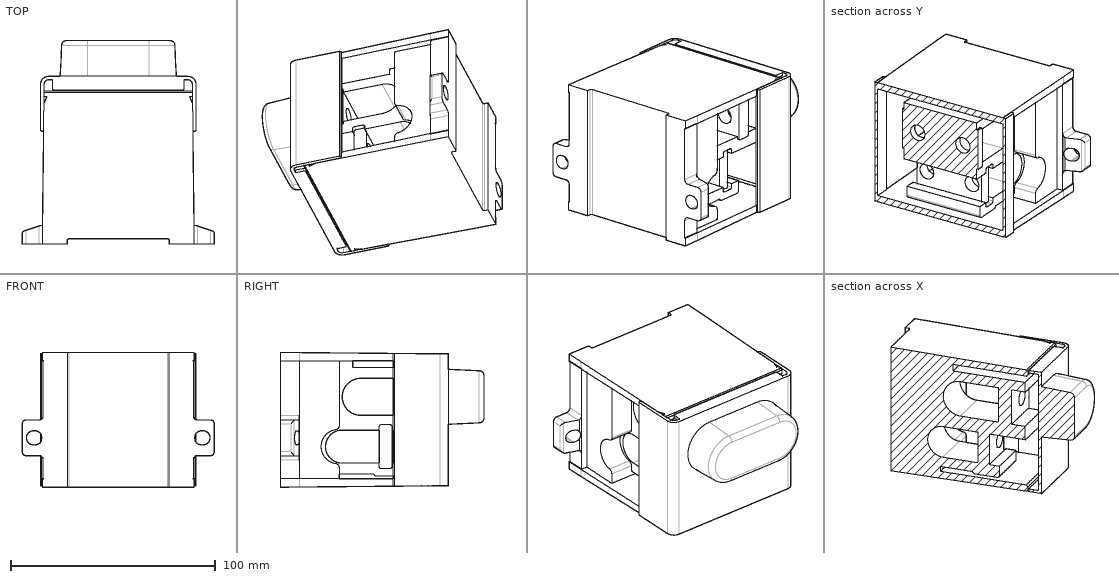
import cadquery as cq

HOUSING_DEPTH = 74.95
FLANGE_DEPTH = 9.3
BACK_HALF_WIDTH = 37.1
FRONT_HALF_WIDTH = 36.3
BACK_HALF_HEIGHT = 33.0
FRONT_HALF_HEIGHT = 32.35
FRONT_EDGE_CHAMFER = 0.7
INNER_EDGE_CHAMFER = 0.9
PLATE_INNER_Z = 28.8

CHANNEL_HALF_WIDTH = 24.9
CHANNEL_DEPTH = 2.6
CHANNEL_RADIUS = 0.8

NOTCH_Y = 72.1
NOTCH_LENGTH = 3.3
NOTCH_DEPTH = 1.3

FLANGE_FACE_X = 36.7
WALL_FACE_X = 33.5
WALL_END_Y = 28.8
CORE_FACE_X = 21.2

CORE_END_Y = 73.5
CORE_TOP_Z = 25.6
CORE_BOTTOM_Z = -26.5
TOP_GAP_START_Y = 35.5
LOWER_LIP_Z = -27.5
LOWER_LIP_START_Y = 45.5
LOWER_LIP_END_Y = 60.0
LOWER_LIP_RADIUS = 1.5

UPPER_TUNNEL_Z = 11.25
UPPER_TUNNEL_RADIUS = 9.0
UPPER_TUNNEL_CENTRE_Y = 39.3
LOWER_TUNNEL_Z = -13.1
LOWER_TUNNEL_RADIUS = 8.0
LOWER_TUNNEL_CENTRE_Y = 30.1
BAY_RADIUS = 8.4
BAY_CENTRE_Y = 28.3
BAY_EDGE_RADIUS = 2.0

LOWER_BAR_Y = 48.3
LOWER_BAR_THICKNESS = 6.3
LOWER_BAR_HALF_LENGTH = 18.7
UPPER_BAR_Y = 59.2
UPPER_BAR_THICKNESS = 7.2
UPPER_BAR_HALF_LENGTH = 22.1
BAR_HALF_HEIGHT = 10.7
BAR_CORNER_RADIUS = 1.0
TERMINAL_HOLE_X = 13.1
TERMINAL_HOLE_DIAMETER = 8.0

EAR_TIP_X = 47.0
EAR_TIP_DEPTH = 6.2
EAR_TIP_EDGE_RADIUS = 1.5
EAR_BASE_DEPTH = 9.2
EAR_BASE_X = 38.0
EAR_HEIGHT = 17.6
EAR_Z = -8.8
EAR_RADIUS = 2.0
EAR_HOLE_X = 41.1
EAR_HOLE_LENGTH = 7.5
EAR_HOLE_WIDTH = 6.8

COVER_HALF_WIDTH = 38.1
COVER_HALF_HEIGHT = 32.3
COVER_START_Y = 55.1
COVER_END_Y = 82.1
COVER_WALL = 1.9
COVER_FRONT_WALL = 1.8
COVER_RADIUS = 4.0
COVER_END_CHAMFER = 0.7
COVER_FLANGE_HALF_WIDTH = 32.2
COVER_FLANGE_Y = 75.3
COVER_FLANGE_THICKNESS = 1.6
COVER_FLANGE_RADIUS = 0.8

CAP_END_Y = 99.6
CAP_Z = UPPER_TUNNEL_Z
CAP_CENTRE_SPAN = 30.0
CAP_BASE_RADIUS = 13.5
CAP_DRAFT_DEGREES = 2.7
CAP_EDGE_RADIUS = 2.5

SIDES = (-1, 1)


def box(x_range, y_range, z_range):
    """Axis-aligned box from its three coordinate ranges."""
    size = [high - low for low, high in (x_range, y_range, z_range)]
    low_corner = (x_range[0], y_range[0], z_range[0])
    return cq.Workplane("XY").box(*size, centered=False).translate(low_corner)


def extrude_along_x(outline, half_width):
    """Prism over a (Y, Z) outline, symmetric about X = 0."""
    return cq.Workplane("YZ").polyline(outline).close().extrude(half_width, both=True)


def x_cylinder(y, z, radius, half_width):
    return cq.Workplane("YZ").center(y, z).circle(radius).extrude(half_width, both=True)


def make_envelope():
    """Solid housing; the sides are drafted beyond the flange, top and bottom all along."""
    plan = [
        (-BACK_HALF_WIDTH, 0),
        (BACK_HALF_WIDTH, 0),
        (BACK_HALF_WIDTH, FLANGE_DEPTH),
        (FRONT_HALF_WIDTH, HOUSING_DEPTH),
        (-FRONT_HALF_WIDTH, HOUSING_DEPTH),
        (-BACK_HALF_WIDTH, FLANGE_DEPTH),
    ]
    profile = [
        (0, -BACK_HALF_HEIGHT),
        (HOUSING_DEPTH - FRONT_EDGE_CHAMFER, -FRONT_HALF_HEIGHT),
        (HOUSING_DEPTH, -FRONT_HALF_HEIGHT + FRONT_EDGE_CHAMFER),
        (HOUSING_DEPTH, FRONT_HALF_HEIGHT - FRONT_EDGE_CHAMFER),
        (HOUSING_DEPTH - FRONT_EDGE_CHAMFER, FRONT_HALF_HEIGHT),
        (0, BACK_HALF_HEIGHT),
    ]
    prism = cq.Workplane("XY").polyline(plan).close().extrude(BACK_HALF_HEIGHT, both=True)
    return prism.intersect(extrude_along_x(profile, BACK_HALF_WIDTH))


def make_channel():
    channel = box(
        (-CHANNEL_HALF_WIDTH, CHANNEL_HALF_WIDTH),
        (-CHANNEL_DEPTH, CHANNEL_DEPTH),
        (-BACK_HALF_HEIGHT, BACK_HALF_HEIGHT),
    )
    return channel.edges("|Z and >Y").fillet(CHANNEL_RADIUS)


def make_notch(side):
    """Triangular notch through both plates at one side."""
    outline = [
        (side * BACK_HALF_WIDTH, NOTCH_Y),
        (side * (FRONT_HALF_WIDTH - NOTCH_DEPTH), NOTCH_Y),
        (side * FRONT_HALF_WIDTH, NOTCH_Y - NOTCH_LENGTH),
        (side * BACK_HALF_WIDTH, NOTCH_Y - NOTCH_LENGTH),
    ]
    return cq.Workplane("XY").polyline(outline).close().extrude(BACK_HALF_HEIGHT, both=True)


def make_interior():
    """Room between the plates, with the round bay reaching into the side walls."""
    z_range = (-PLATE_INNER_Z, PLATE_INNER_Z)
    full = (-BACK_HALF_WIDTH, BACK_HALF_WIDTH)
    room = box(full, (WALL_END_Y, HOUSING_DEPTH), z_range)
    room = room.union(x_cylinder(BAY_CENTRE_Y, LOWER_TUNNEL_Z, BAY_RADIUS, BACK_HALF_WIDTH))
    front_chamfer = [
        (HOUSING_DEPTH - INNER_EDGE_CHAMFER, -PLATE_INNER_Z),
        (HOUSING_DEPTH, -PLATE_INNER_Z - INNER_EDGE_CHAMFER),
        (HOUSING_DEPTH, PLATE_INNER_Z + INNER_EDGE_CHAMFER),
        (HOUSING_DEPTH - INNER_EDGE_CHAMFER, PLATE_INNER_Z),
    ]
    room = room.union(extrude_along_x(front_chamfer, BACK_HALF_WIDTH))
    reach = 1.0
    for bay_side in SIDES:
        corner_z = LOWER_TUNNEL_Z + bay_side * BAY_RADIUS
        low = (-BACK_HALF_WIDTH - reach, WALL_END_Y - reach, corner_z - reach)
        high = (BACK_HALF_WIDTH + reach, WALL_END_Y + reach, corner_z + reach)
        room = room.edges(cq.selectors.BoxSelector(low, high)).edges("|X").fillet(BAY_EDGE_RADIUS)
    return room


def make_core():
    """Solid terminal core, before its wire tunnels are cut."""
    outline = [
        (FLANGE_DEPTH, CORE_BOTTOM_Z),
        (LOWER_LIP_START_Y, CORE_BOTTOM_Z),
        (LOWER_LIP_START_Y + CORE_BOTTOM_Z - LOWER_LIP_Z, LOWER_LIP_Z),
        (LOWER_LIP_END_Y, LOWER_LIP_Z),
        (LOWER_LIP_END_Y, LOWER_TUNNEL_Z),
        (CORE_END_Y, LOWER_TUNNEL_Z),
        (CORE_END_Y, CORE_TOP_Z),
        (TOP_GAP_START_Y, CORE_TOP_Z),
        (TOP_GAP_START_Y, PLATE_INNER_Z),
        (FLANGE_DEPTH, PLATE_INNER_Z),
    ]
    core = extrude_along_x(outline, CORE_FACE_X)
    lip_corner = cq.selectors.NearestToPointSelector((0, LOWER_LIP_END_Y, LOWER_LIP_Z))
    return core.edges("|X").edges(lip_corner).fillet(LOWER_LIP_RADIUS)


def make_tunnel(centre_y, z, radius):
    """Tunnel along X with a round end, open towards +Y."""
    straight = box(
        (-BACK_HALF_WIDTH, BACK_HALF_WIDTH),
        (centre_y, HOUSING_DEPTH),
        (z - radius, z + radius),
    )
    round_end = x_cylinder(centre_y, z, radius, BACK_HALF_WIDTH)
    return straight.union(round_end)


def make_bar_blank(half_length, y, thickness, z):
    """Plain bar along X with rounded long edges."""
    bar = box(
        (-half_length, half_length),
        (y, y + thickness),
        (z - BAR_HALF_HEIGHT, z + BAR_HALF_HEIGHT),
    )
    return bar.edges("|X").fillet(BAR_CORNER_RADIUS)


def make_bar(half_length, y, thickness, z):
    """Terminal bar across a tunnel, with one screw hole near each end."""
    holes = (
        cq.Workplane("XZ", origin=(0, y, z))
        .pushPoints([(side * TERMINAL_HOLE_X, 0) for side in SIDES])
        .circle(TERMINAL_HOLE_DIAMETER / 2)
        .extrude(-thickness)
    )
    return make_bar_blank(half_length, y, thickness, z).cut(holes)


def make_side_recess(face_x, y_range, side):
    """Cutter that sets a side wall back to face_x between the plates."""
    x_range = sorted((side * face_x, side * (BACK_HALF_WIDTH + 1)))
    return box(x_range, y_range, (-PLATE_INNER_Z, PLATE_INNER_Z))


def make_ear(side):
    """Mounting ear with a sloping inner face, rounded tip and filleted root."""
    root_x = FLANGE_FACE_X - EAR_RADIUS
    slope_outline = [
        (side * root_x, 0),
        (side * EAR_TIP_X, 0),
        (side * EAR_TIP_X, EAR_TIP_DEPTH),
        (side * EAR_BASE_X, EAR_BASE_DEPTH),
        (side * root_x, EAR_BASE_DEPTH),
    ]
    half_height = EAR_HEIGHT / 2
    root_half_height = half_height + EAR_RADIUS
    wedge = (
        cq.Workplane("XY", origin=(0, 0, EAR_Z))
        .polyline(slope_outline)
        .close()
        .extrude(root_half_height, both=True)
    )
    tip_edge = cq.selectors.NearestToPointSelector((side * EAR_TIP_X, EAR_TIP_DEPTH, EAR_Z))
    wedge = wedge.edges(tip_edge).fillet(EAR_TIP_EDGE_RADIUS)
    rounded_plate = (
        cq.Workplane("XZ", origin=(0, 0, EAR_Z))
        .moveTo(side * root_x, -root_half_height)
        .lineTo(side * FLANGE_FACE_X, -root_half_height)
        .radiusArc((side * (FLANGE_FACE_X + EAR_RADIUS), -half_height), side * EAR_RADIUS)
        .lineTo(side * (EAR_TIP_X - EAR_RADIUS), -half_height)
        .radiusArc((side * EAR_TIP_X, -half_height + EAR_RADIUS), -side * EAR_RADIUS)
        .lineTo(side * EAR_TIP_X, half_height - EAR_RADIUS)
        .radiusArc((side * (EAR_TIP_X - EAR_RADIUS), half_height), -side * EAR_RADIUS)
        .lineTo(side * (FLANGE_FACE_X + EAR_RADIUS), half_height)
        .radiusArc((side * FLANGE_FACE_X, root_half_height), side * EAR_RADIUS)
        .lineTo(side * root_x, root_half_height)
        .close()
        .extrude(-EAR_BASE_DEPTH)
    )
    return wedge.intersect(rounded_plate)


def make_ear_hole(side):
    return (
        cq.Workplane("XZ", origin=(side * EAR_HOLE_X, 0, EAR_Z))
        .slot2D(EAR_HOLE_LENGTH, EAR_HOLE_WIDTH)
        .extrude(-EAR_BASE_DEPTH)
    )


def make_cover():
    """U-shaped cover with a short flange above and below the housing."""
    z_range = (-COVER_HALF_HEIGHT, COVER_HALF_HEIGHT)
    shell = box((-COVER_HALF_WIDTH, COVER_HALF_WIDTH), (COVER_START_Y, COVER_END_Y), z_range)
    shell = shell.edges("|Z and >Y").fillet(COVER_RADIUS)
    shell = shell.edges("|Z and <Y").chamfer(COVER_END_CHAMFER)
    inner_half_width = COVER_HALF_WIDTH - COVER_WALL
    cavity = box(
        (-inner_half_width, inner_half_width),
        (COVER_START_Y, COVER_END_Y - COVER_FRONT_WALL),
        z_range,
    )
    cover = shell.cut(cavity.edges("|Z and >Y").fillet(COVER_RADIUS - COVER_WALL))
    for side in SIDES:
        inner_z = COVER_HALF_HEIGHT - COVER_FLANGE_THICKNESS
        flange = box(
            (-COVER_FLANGE_HALF_WIDTH, COVER_FLANGE_HALF_WIDTH),
            (COVER_FLANGE_Y, COVER_END_Y),
            sorted((side * inner_z, side * COVER_HALF_HEIGHT)),
        )
        cover = cover.union(flange.edges("|Z and <Y").fillet(COVER_FLANGE_RADIUS))
    return cover


def make_cap():
    """Drafted cap with semicircular ends and a rounded outer edge."""
    cap = (
        cq.Workplane("XZ", origin=(0, COVER_END_Y, CAP_Z))
        .slot2D(CAP_CENTRE_SPAN + 2 * CAP_BASE_RADIUS, 2 * CAP_BASE_RADIUS)
        .extrude(-(CAP_END_Y - COVER_END_Y), taper=CAP_DRAFT_DEGREES)
    )
    return cap.faces(">Y").edges().fillet(CAP_EDGE_RADIUS)


housing = make_envelope().cut(make_channel()).cut(make_interior())
for side in SIDES:
    housing = housing.cut(make_notch(side))
    housing = housing.cut(make_side_recess(FLANGE_FACE_X, (0, FLANGE_DEPTH), side))
    housing = housing.cut(make_side_recess(WALL_FACE_X, (FLANGE_DEPTH, WALL_END_Y), side))

housing = housing.union(make_core())
housing = housing.cut(make_tunnel(UPPER_TUNNEL_CENTRE_Y, UPPER_TUNNEL_Z, UPPER_TUNNEL_RADIUS))
housing = housing.cut(make_tunnel(LOWER_TUNNEL_CENTRE_Y, LOWER_TUNNEL_Z, LOWER_TUNNEL_RADIUS))
housing = housing.cut(
    make_bar_blank(CORE_FACE_X, LOWER_BAR_Y, LOWER_BAR_THICKNESS, LOWER_TUNNEL_Z)
)
housing = housing.union(
    make_bar(LOWER_BAR_HALF_LENGTH, LOWER_BAR_Y, LOWER_BAR_THICKNESS, LOWER_TUNNEL_Z)
)
housing = housing.union(
    make_bar(UPPER_BAR_HALF_LENGTH, UPPER_BAR_Y, UPPER_BAR_THICKNESS, UPPER_TUNNEL_Z)
)

for side in SIDES:
    housing = housing.union(make_ear(side)).cut(make_ear_hole(side))

result = housing.union(make_cover()).union(make_cap())